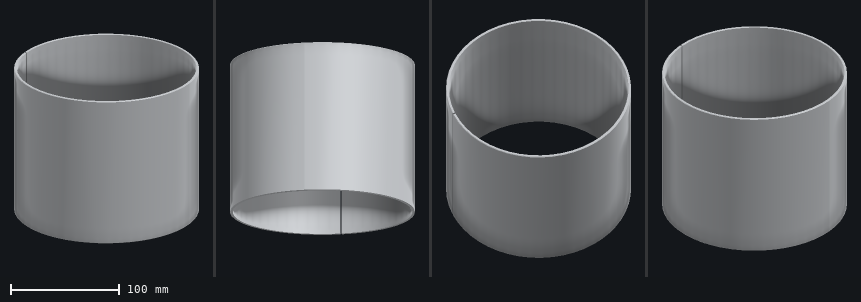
import cadquery as cq

outer_diameter = 170.0
height = 140.0
wall = 2.5
outer_chamfer = 0.5
inner_chamfer = 0.3
slit_width = 1.5
slit_start_y = 0.0

outer_radius = outer_diameter / 2
inner_radius = outer_radius - wall

wall_section = [
    (inner_radius, inner_chamfer),
    (inner_radius + inner_chamfer, 0),
    (outer_radius - outer_chamfer, 0),
    (outer_radius, outer_chamfer),
    (outer_radius, height - outer_chamfer),
    (outer_radius - outer_chamfer, height),
    (inner_radius + inner_chamfer, height),
    (inner_radius, height - inner_chamfer),
]
sleeve = cq.Workplane("XZ").polyline(wall_section).close().revolve(360, (0, 0, 0), (0, 1, 0))

slit = cq.Workplane("XY").box(outer_diameter, slit_width, height, centered=False)
slit = slit.translate((-outer_diameter, slit_start_y, 0))

result = sleeve.cut(slit)